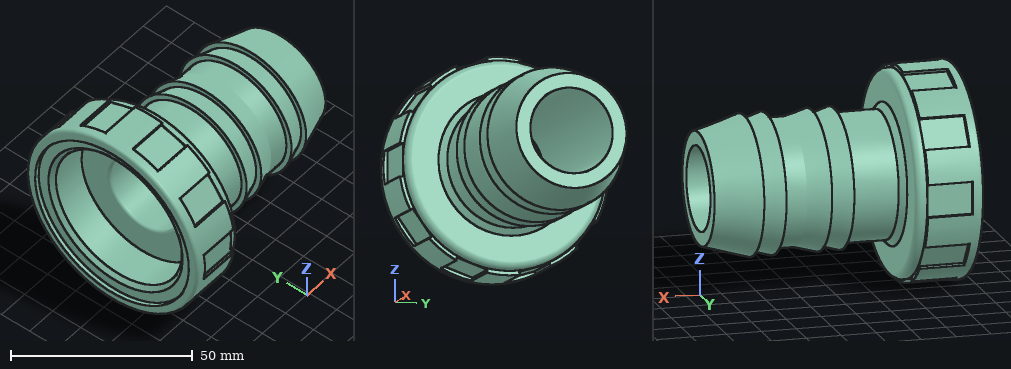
import cadquery as cq


NUT_RADIUS = 30.5
NUT_BODY_END = 15.9
NUT_FRONT_FILLET = 1.0
COLLAR_RADIUS = 29.3
COLLAR_END = 19.0
COLLAR_FILLET = 2.0
FACE_RECESS_RADIUS = 27.4
FACE_RECESS_DEPTH = 1.5
BORE_RADIUS = 22.4
BORE_CHAMFER = 1.45
LIP_START = NUT_BODY_END

GRIP_COUNT = 10
GRIP_START = 3.15
GRIP_WIDTH = 9.35
GRIP_FLOOR_RADIUS = COLLAR_RADIUS

TAIL_LENGTH = 73.0
HOLE_RADIUS = 12.0
HOLE_FILLET = 1.0
FLANGE_START = 13.65
FLANGE_RADIUS = 22.05
HUB_RADIUS = 20.0
NECK_START = 20.9
NECK_RADIUS = 18.1
BARB_RADIUS = 19.9
TIP_RADIUS = 16.05
BARB_PAIR_STARTS = (34.1, 53.5)
BARB_PITCH = 6.35
SECOND_BARB_LENGTH = 6.6

LARGEST_CIRCLE = cq.selectors.RadiusNthSelector(-1)
SMALLEST_CIRCLE = cq.selectors.RadiusNthSelector(0)


def revolve_about_x(points):
    """Turn a closed (x, radius) outline once around the X axis."""
    return cq.Workplane("XZ").polyline(points).close().revolve(360, (0, 0, 0), (1, 0, 0))


def make_nut():
    bore_chamfer_end = FACE_RECESS_DEPTH + BORE_CHAMFER
    body = revolve_about_x([
        (0, FACE_RECESS_RADIUS),
        (0, NUT_RADIUS),
        (NUT_BODY_END, NUT_RADIUS),
        (NUT_BODY_END, COLLAR_RADIUS),
        (COLLAR_END, COLLAR_RADIUS),
        (COLLAR_END, HUB_RADIUS),
        (LIP_START, HUB_RADIUS),
        (LIP_START, BORE_RADIUS),
        (bore_chamfer_end, BORE_RADIUS),
        (FACE_RECESS_DEPTH, BORE_RADIUS + BORE_CHAMFER),
        (FACE_RECESS_DEPTH, FACE_RECESS_RADIUS),
    ])
    body = body.faces("<X").edges(LARGEST_CIRCLE).fillet(NUT_FRONT_FILLET)
    body = body.faces(">X").edges(LARGEST_CIRCLE).fillet(COLLAR_FILLET)
    for index in range(GRIP_COUNT):
        body = body.cut(make_grip_pocket(index * 360 / GRIP_COUNT))
    return body


def make_grip_pocket(angle):
    """Flat-floored cutter, open towards the collar; angle 0 faces -Y."""
    depth = NUT_RADIUS - GRIP_FLOOR_RADIUS
    return (
        cq.Workplane("XY")
        .box(NUT_BODY_END - GRIP_START, depth, GRIP_WIDTH, centered=(False, False, True))
        .translate((GRIP_START, -NUT_RADIUS, 0))
        .rotate((0, 0, 0), (1, 0, 0), angle)
    )


def make_tail():
    outline = [
        (FLANGE_START, HOLE_RADIUS),
        (FLANGE_START, FLANGE_RADIUS),
        (LIP_START, FLANGE_RADIUS),
        (LIP_START, HUB_RADIUS),
        (COLLAR_END, HUB_RADIUS),
        (NECK_START, NECK_RADIUS),
    ]
    for start in BARB_PAIR_STARTS:
        second = start + BARB_PITCH
        outline += [
            (start, NECK_RADIUS),
            (start, BARB_RADIUS),
            (second, NECK_RADIUS),
            (second, BARB_RADIUS),
        ]
        if start != BARB_PAIR_STARTS[-1]:
            outline.append((second + SECOND_BARB_LENGTH, NECK_RADIUS))
    outline += [(TAIL_LENGTH, TIP_RADIUS), (TAIL_LENGTH, HOLE_RADIUS)]
    tail = revolve_about_x(outline)
    return tail.faces("<X").edges(SMALLEST_CIRCLE).fillet(HOLE_FILLET)


nut = make_nut()
tail = make_tail()
result = cq.Compound.makeCompound([nut.val(), tail.val()])